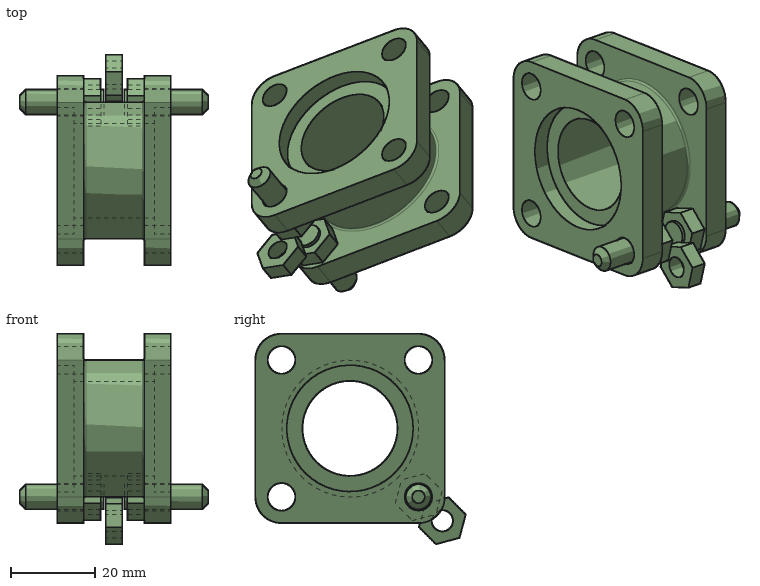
import cadquery as cq
import math

spool_length = 27.0
flange_size = 45.0
flange_thickness = 6.3
flange_corner_radius = 6.25
neck_diameter = 32.5
neck_fillet = 0.5
bore_diameter = 22.5
recess_diameter = 30.0
recess_depth = 4.0

bolt_hole_diameter = 6.5
bolt_offset = flange_size / 2 - flange_corner_radius

pin_diameter = 6.0
pin_length = 20.0
pin_chamfer = 1.5
pin_pair_span = 44.85

nut_across_flats = 10.0
nut_thickness = 4.0
loose_nut_hole_diameter = 5.0
nut_turn = -45.0
overall_size = 50.0

flange_inner_face = spool_length / 2 - flange_thickness
pin_outer_end = pin_pair_span / 2
nut_corner_radius = nut_across_flats / 2 / math.cos(math.pi / 6)
nut_reach = nut_corner_radius * math.cos(math.radians(60 + nut_turn))
loose_nut_offset = overall_size - flange_size / 2 - nut_reach


def plane_at(x):
    """Plane across the spool axis, with local x along Y and local y along Z."""
    return cq.Workplane("YZ", origin=(x, 0, 0))


def make_flange(x_start):
    flange = plane_at(x_start).rect(flange_size, flange_size).extrude(flange_thickness)
    flange = flange.edges("|X").fillet(flange_corner_radius)
    holes = (
        plane_at(x_start)
        .rect(2 * bolt_offset, 2 * bolt_offset, forConstruction=True)
        .vertices()
        .circle(bolt_hole_diameter / 2)
        .extrude(flange_thickness)
    )
    return flange.cut(holes)


def make_neck():
    """Neck profile flared by a fillet at each flange, turned about X."""
    radius = neck_diameter / 2
    flare_radius = radius + neck_fillet
    fillet_start = flange_inner_face - neck_fillet
    sag = neck_fillet * (1 - math.sqrt(0.5))
    return (
        cq.Workplane("XY")
        .moveTo(-flange_inner_face, 0)
        .lineTo(-flange_inner_face, flare_radius)
        .threePointArc((-flange_inner_face + sag, radius + sag), (-fillet_start, radius))
        .lineTo(fillet_start, radius)
        .threePointArc((flange_inner_face - sag, radius + sag), (flange_inner_face, flare_radius))
        .lineTo(flange_inner_face, 0)
        .close()
        .revolve(360, (0, 0, 0), (1, 0, 0))
    )


def make_spool():
    spool = make_neck()
    for x_start in (-spool_length / 2, flange_inner_face):
        spool = spool.union(make_flange(x_start))
    bore = plane_at(-spool_length / 2).circle(bore_diameter / 2).extrude(spool_length)
    spool = spool.cut(bore)
    for x_start in (-spool_length / 2, spool_length / 2 - recess_depth):
        recess = plane_at(x_start).circle(recess_diameter / 2).extrude(recess_depth)
        spool = spool.cut(recess)
    return spool


def make_pin(side):
    """Pin through the flange on the given side of X (-1 or 1), chamfered at its outer end."""
    pin = (
        plane_at(side * pin_outer_end)
        .center(bolt_offset, -bolt_offset)
        .circle(pin_diameter / 2)
        .extrude(-side * pin_length)
    )
    outer_face = ">X" if side > 0 else "<X"
    return pin.faces(outer_face).chamfer(pin_chamfer)


def make_nut(x_middle, offset, hole_diameter):
    """Hexagonal nut centred at x_middle, its axis at (+offset, -offset) in Y and Z."""
    return (
        plane_at(x_middle - nut_thickness / 2)
        .center(offset, -offset)
        .transformed(rotate=(0, 0, nut_turn))
        .polygon(6, 2 * nut_corner_radius)
        .circle(hole_diameter / 2)
        .extrude(nut_thickness)
    )


spool = make_spool()

pins = []
pin_nuts = []
for side in (-1, 1):
    pins.append(make_pin(side))
    nut_middle = side * (flange_inner_face - nut_thickness / 2)
    pin_nuts.append(make_nut(nut_middle, bolt_offset, pin_diameter))

loose_nut = make_nut(0, loose_nut_offset, loose_nut_hole_diameter)

result = cq.Compound.makeCompound(
    [
        spool.val(),
        *[pin.val() for pin in pins],
        *[nut.val() for nut in pin_nuts],
        loose_nut.val(),
    ]
)